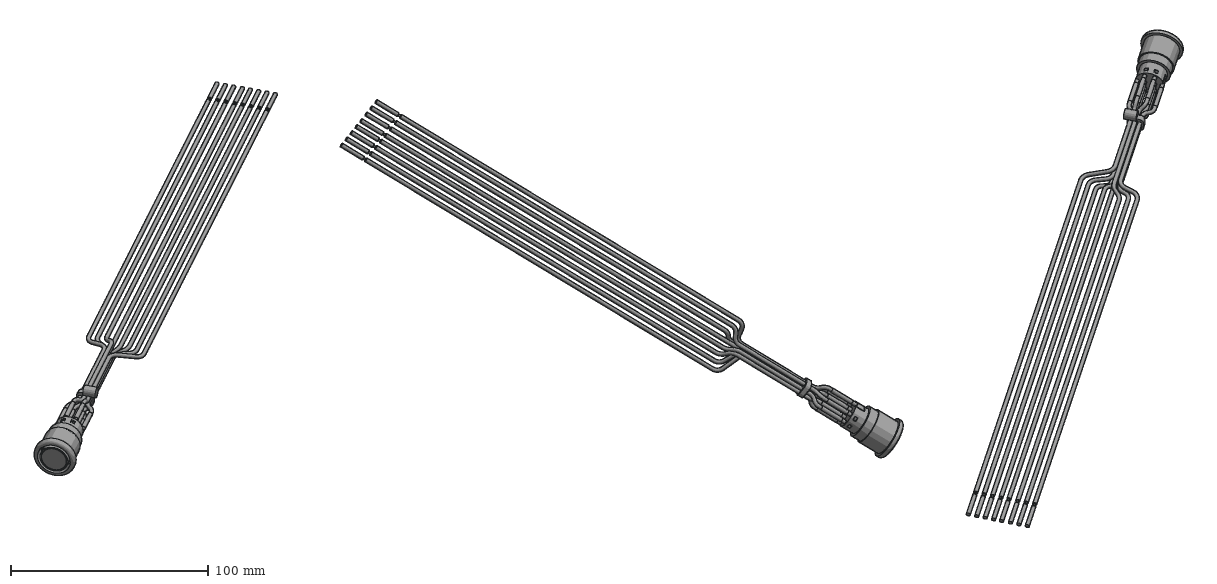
import cadquery as cq
import math

LENGTH = 327.5
LEAD_DIA = 2.2
LEAD_COUNT = 8
FAN_WIDTH = 33.0
FAN_CENTRE_X = 2.3
FAN_PITCH = (FAN_WIDTH - LEAD_DIA) / (LEAD_COUNT - 1)
BEND_RADIUS = 4.5

CORE_DIA = 1.1
TIP_LENGTH = 13.5
STRIPPED_LENGTH = 1.5

FLANGE_DIA = 22.0
FLANGE_END = 3.0
FLANGE_ROUNDING = 1.5
BODY_DIA = 19.0
BODY_END = 14.7
COLLAR_DIA = 17.7
COLLAR_END = 19.5
BARREL_DIA = 14.7
BARREL_END = 27.2

FACE_GROOVES = [(13.0, 13.5), (14.7, 17.5)]
GROOVE_DEPTH = 6.5

POCKET_WIDTH = 2.0
POCKET_LENGTH = 1.5
POCKET_FLOOR_Z = 6.2
POCKET_CENTRE_Y = 24.5
KEY_WIDTH = 5.0
KEY_LENGTH = 5.2
KEY_DEPTH = 0.5

SLEEVE_DIA = 2.4
SLEEVE_START = 29.5
SLEEVE_END = 42.0

OVERLAP = 0.5

SPREAD_START = 48.5
SPREAD_END = 45.5

BUNDLE_PITCH = 2.4
BUNDLE_CENTRE_X = 0.3
LEFT = BUNDLE_CENTRE_X - BUNDLE_PITCH
MIDDLE = BUNDLE_CENTRE_X
RIGHT = BUNDLE_CENTRE_X + BUNDLE_PITCH
TOP = BUNDLE_PITCH
BOTTOM = -BUNDLE_PITCH

PIN_INNER_X = 2.5
PIN_OUTER_X = 6.5
PIN_ROW_Z = 5.0

LEADS = [
    ((-PIN_OUTER_X, 0), (LEFT, BUNDLE_PITCH / 2), (97.5, 100.5)),
    ((-PIN_INNER_X, -PIN_ROW_Z), (LEFT, -BUNDLE_PITCH / 2), (98.5, 102.2)),
    ((-PIN_INNER_X, PIN_ROW_Z), (MIDDLE, TOP), (100.5, 104.5)),
    ((-PIN_INNER_X, 0), (MIDDLE, 0), None),
    ((PIN_INNER_X, -PIN_ROW_Z), (MIDDLE, BOTTOM), (95.3, 99.5)),
    ((PIN_INNER_X, 0), (RIGHT, BOTTOM), (96.3, 100.2)),
    ((PIN_OUTER_X, 0), (RIGHT, 0), (93.5, 97.5)),
    ((PIN_INNER_X, PIN_ROW_Z), (RIGHT, TOP), (90.0, 95.3)),
]

TIE_CENTRE_Y = 54.0
TIE_LENGTH = 3.0
TIE_WIDTH = 9.0
TIE_HEIGHT = 8.5
TIE_CORNER_RADIUS = 2.5
TIE_HEAD_DIA = 5.5
TIE_HEAD_WIDTH = 6.5
TIE_HEAD_CENTRE_X = 3.0
TIE_HEAD_CENTRE_Z = 4.75


def rod(diameter, start, end):
    """A round rod between two points."""
    axis = end - start
    return cq.Workplane(cq.Solid.makeCylinder(diameter / 2, axis.Length, start, axis))


def bent_rod(diameter, corners):
    """A round rod along a line of corners, each rounded to the bend radius."""
    edges = []
    position = corners[0]
    for before, corner, after in zip(corners, corners[1:], corners[2:]):
        arriving = (corner - before).normalized()
        leaving = (after - corner).normalized()
        setback = BEND_RADIUS * math.tan(arriving.getAngle(leaving) / 2)
        bend_start = corner - arriving * setback
        bend_end = corner + leaving * setback
        edges.append(cq.Edge.makeLine(position, bend_start))
        edges.append(cq.Edge.makeTangentArc(bend_start, arriving, bend_end))
        position = bend_end
    edges.append(cq.Edge.makeLine(position, corners[-1]))
    path = cq.Wire.assembleEdges(edges)
    start_plane = cq.Plane(origin=corners[0], normal=corners[1] - corners[0])
    return cq.Workplane(start_plane).circle(diameter / 2).sweep(path)


def lead(fan_x, pin, bundle, fan_corners):
    """One lead from its pin to its free end, as a list of overlapping pieces."""
    pin_x, pin_z = pin
    bundle_x, bundle_z = bundle
    tip_start = LENGTH - TIP_LENGTH
    stripped_start = tip_start - STRIPPED_LENGTH
    corners = [
        cq.Vector(pin_x, BARREL_END - OVERLAP, pin_z),
        cq.Vector(pin_x, SPREAD_END, pin_z),
        cq.Vector(bundle_x, SPREAD_START, bundle_z),
    ]
    end_x, end_z = bundle
    if fan_corners:
        bundle_corner_y, fan_corner_y = fan_corners
        end_x, end_z = fan_x, 0
        corners.append(cq.Vector(bundle_x, bundle_corner_y, bundle_z))
        corners.append(cq.Vector(fan_x, fan_corner_y, 0))
    corners.append(cq.Vector(end_x, stripped_start, end_z))

    def straight(diameter, x, z, start_y, end_y):
        return rod(diameter, cq.Vector(x, start_y, z), cq.Vector(x, end_y, z))

    return [
        straight(SLEEVE_DIA, pin_x, pin_z, SLEEVE_START, SLEEVE_END),
        bent_rod(LEAD_DIA, corners),
        straight(CORE_DIA, end_x, end_z, stripped_start - OVERLAP, tip_start + OVERLAP),
        straight(LEAD_DIA, end_x, end_z, tip_start, LENGTH),
    ]


def connector():
    """The turned body with its grooved face, and the details on its barrel."""
    flange_radius = FLANGE_DIA / 2
    rounding_inset = FLANGE_ROUNDING * (1 - math.sqrt(0.5))
    body = (
        cq.Workplane("XY")
        .lineTo(flange_radius - FLANGE_ROUNDING, 0)
        .threePointArc(
            (flange_radius - rounding_inset, rounding_inset), (flange_radius, FLANGE_ROUNDING)
        )
        .lineTo(flange_radius, FLANGE_END)
        .lineTo(BODY_DIA / 2, FLANGE_END)
        .lineTo(BODY_DIA / 2, BODY_END)
        .lineTo(COLLAR_DIA / 2, BODY_END)
        .lineTo(COLLAR_DIA / 2, COLLAR_END)
        .lineTo(BARREL_DIA / 2, COLLAR_END)
        .lineTo(BARREL_DIA / 2, BARREL_END)
        .lineTo(0, BARREL_END)
        .close()
        .revolve(360, (0, 0, 0), (0, 1, 0))
    )

    for inner_dia, outer_dia in FACE_GROOVES:
        groove = cq.Workplane("XZ").circle(outer_dia / 2).circle(inner_dia / 2)
        body = body.cut(groove.extrude(-GROOVE_DEPTH))

    pocket = cq.Workplane("XY").box(POCKET_WIDTH, POCKET_LENGTH, BARREL_DIA)
    pocket_centre_z = POCKET_FLOOR_Z + BARREL_DIA / 2
    for x in (-PIN_INNER_X, PIN_INNER_X):
        for z in (-pocket_centre_z, pocket_centre_z):
            body = body.cut(pocket.translate((x, POCKET_CENTRE_Y, z)))

    key = cq.Workplane("XY").box(2 * KEY_DEPTH, KEY_LENGTH, KEY_WIDTH)
    return body.cut(key.translate((-BARREL_DIA / 2, BARREL_END - KEY_LENGTH / 2, 0)))


def tie():
    """The band around the bundle and its round head, whose axis lies along X."""
    band = (
        cq.Workplane("XY")
        .box(TIE_WIDTH, TIE_LENGTH, TIE_HEIGHT)
        .edges("|Y")
        .fillet(TIE_CORNER_RADIUS)
        .translate((BUNDLE_CENTRE_X, TIE_CENTRE_Y, 0))
    )
    half_width = cq.Vector(TIE_HEAD_WIDTH / 2, 0, 0)
    centre = cq.Vector(TIE_HEAD_CENTRE_X, TIE_CENTRE_Y, TIE_HEAD_CENTRE_Z)
    return band.union(rod(TIE_HEAD_DIA, centre - half_width, centre + half_width))


first_lead_x = FAN_CENTRE_X - (FAN_WIDTH - LEAD_DIA) / 2
result = connector().union(tie())
for number, (pin, bundle, fan_corners) in enumerate(LEADS):
    for piece in lead(first_lead_x + number * FAN_PITCH, pin, bundle, fan_corners):
        result = result.union(piece)